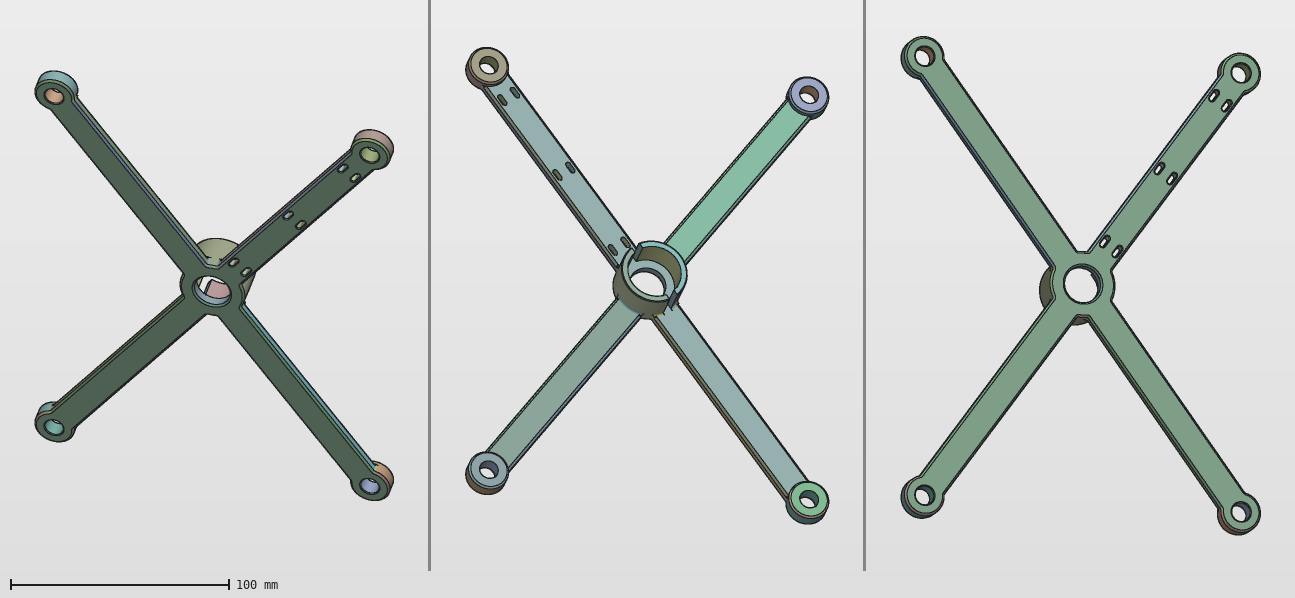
import cadquery as cq
import math

TOTAL_WIDTH = 168.7
TOTAL_HEIGHT = 223.8
TOTAL_DEPTH = 20.0

EYE_DIAMETER = 18.8
EYE_HOLE_DIAMETER = 8.7
EYE_DEPTH = 8.0
EYE_X = (TOTAL_WIDTH - EYE_DIAMETER) / 2
EYE_Z = (TOTAL_HEIGHT - EYE_DIAMETER) / 2
EYE_CENTRES = [(side * EYE_X, end * EYE_Z) for side in (-1, 1) for end in (-1, 1)]

ARM_WIDTH = 14.0
ARM_DEPTH = 5.1
ARM_ANGLE = math.degrees(math.atan2(EYE_Z, EYE_X))
ARM_SPAN = 2 * math.hypot(EYE_X, EYE_Z)
CORNER_RADIUS = 1.1

HUB_DIAMETER = 30.9
HUB_HOLE_DIAMETER = 17.0
HUB_SOCKET_DIAMETER = 25.0
KEYWAY_WIDTH = 4.5

OUTLINE_CHAMFER = 1.0
BACK_CHAMFER = 1.1
BACK_CHAMFER_GAP = 0.5
HUB_CHAMFER = 0.5
EYE_CHAMFER = 1.0
HUB_HOLE_CHAMFER = 1.0
EYE_HOLE_CHAMFER = 0.5

TIE_SLOT_LENGTH = 5.8
TIE_SLOT_WIDTH = 2.2
TIE_SLOT_CHAMFER = 0.5
TIE_SLOT_GAUGE = 7.4
TIE_SLOT_PITCH = 43.9
MIDDLE_TIE_SLOT = 66.5

TOLERANCE = 0.02


def plane_at(y):
    """XZ plane at depth y; a negative extrusion runs towards +Y."""
    return cq.Workplane("XZ", origin=(0, y, 0))


def between(front, back):
    """Selector for everything centred between two depths."""
    low = (-TOTAL_WIDTH, front, -TOTAL_HEIGHT)
    high = (TOTAL_WIDTH, back, TOTAL_HEIGHT)
    return cq.selectors.BoxSelector(low, high)


def make_boss(diameter, depth, chamfer):
    """Round boss on the Y axis with a broken back edge."""
    boss = plane_at(0).circle(diameter / 2).extrude(-depth)
    return boss.faces(">Y").chamfer(chamfer)


def make_body():
    """Crossed arms joined to the hub and the eyes, with rounded corners and broken edges."""
    body = make_boss(HUB_DIAMETER, TOTAL_DEPTH, HUB_CHAMFER)
    for angle in (ARM_ANGLE, -ARM_ANGLE):
        arm = plane_at(0).transformed(rotate=(0, 0, angle)).rect(ARM_SPAN, ARM_WIDTH)
        body = body.union(arm.extrude(-ARM_DEPTH))
    for x, z in EYE_CENTRES:
        body = body.union(make_boss(EYE_DIAMETER, EYE_DEPTH, EYE_CHAMFER).translate((x, 0, z)))

    corners = body.edges("|Y").edges(between(0, ARM_DEPTH / 2 + TOLERANCE))
    near_hub = cq.selectors.BoxSelector(
        (-HUB_DIAMETER, ARM_DEPTH - TOLERANCE, -HUB_DIAMETER),
        (HUB_DIAMETER, ARM_DEPTH + TOLERANCE, HUB_DIAMETER),
    )
    hub_root = body.edges(near_hub).edges("%CIRCLE")
    body = corners.add(hub_root).fillet(CORNER_RADIUS)
    return body.faces("<Y").chamfer(OUTLINE_CHAMFER)


def corner_reach(disc_diameter):
    """Distance along an arm from a disc centre to the end of the corner rounding."""
    return math.sqrt((disc_diameter / 2 + CORNER_RADIUS) ** 2 - (ARM_WIDTH / 2 + CORNER_RADIUS) ** 2)


def make_back_chamfer(angle):
    """Wedges along both back edges of one arm, stopping short of the rounded corners."""
    start = corner_reach(HUB_DIAMETER) + BACK_CHAMFER_GAP
    end = ARM_SPAN / 2 - corner_reach(EYE_DIAMETER) - BACK_CHAMFER_GAP
    edge = ARM_WIDTH / 2
    wedge = (
        cq.Workplane("YZ", origin=(start, 0, 0))
        .polyline([(ARM_DEPTH - BACK_CHAMFER, edge), (ARM_DEPTH, edge - BACK_CHAMFER), (ARM_DEPTH, edge)])
        .close()
        .extrude(end - start)
    )
    wedges = wedge.union(wedge.mirror("XY"))
    return wedges.rotate((0, 0, 0), (0, -1, 0), angle)


def make_hole(diameter, depth, chamfer):
    """Through hole along Y, countersunk at the front."""
    radius = diameter / 2
    profile = [
        (0, 0),
        (radius + chamfer, 0),
        (radius, chamfer),
        (radius, depth),
        (0, depth),
    ]
    return cq.Workplane("XY").polyline(profile).close().revolve(360, (0, 0), (0, 1))


def make_socket():
    """Wider bore of the hub, from its back end down to the back of the arms."""
    return plane_at(ARM_DEPTH).circle(HUB_SOCKET_DIAMETER / 2).extrude(ARM_DEPTH - TOTAL_DEPTH)


def make_keyway():
    """Slot across the hub wall, in line with the slotted arm and behind the arms."""
    slot = plane_at(ARM_DEPTH).transformed(rotate=(0, 0, ARM_ANGLE)).rect(2 * HUB_DIAMETER, KEYWAY_WIDTH)
    return slot.extrude(ARM_DEPTH - TOTAL_DEPTH)


def make_tie_slots():
    """Obround slots through the arm, widened at the front edge."""
    centres = [
        (MIDDLE_TIE_SLOT + row * TIE_SLOT_PITCH, side * TIE_SLOT_GAUGE / 2)
        for row in (-1, 0, 1)
        for side in (-1, 1)
    ]
    slots = plane_at(ARM_DEPTH).transformed(rotate=(0, 0, ARM_ANGLE)).pushPoints(centres)
    slots = slots.slot2D(TIE_SLOT_LENGTH, TIE_SLOT_WIDTH).extrude(ARM_DEPTH)
    sinks = plane_at(TIE_SLOT_CHAMFER).transformed(rotate=(0, 0, ARM_ANGLE)).pushPoints(centres)
    sinks = sinks.slot2D(TIE_SLOT_LENGTH, TIE_SLOT_WIDTH).extrude(TIE_SLOT_CHAMFER, taper=-45)
    return slots.union(sinks)


body = make_body()
for angle in (ARM_ANGLE, 180 - ARM_ANGLE, 180 + ARM_ANGLE, -ARM_ANGLE):
    body = body.cut(make_back_chamfer(angle))
body = body.cut(make_hole(HUB_HOLE_DIAMETER, ARM_DEPTH, HUB_HOLE_CHAMFER))
for x, z in EYE_CENTRES:
    body = body.cut(make_hole(EYE_HOLE_DIAMETER, EYE_DEPTH, EYE_HOLE_CHAMFER).translate((x, 0, z)))
body = body.cut(make_socket())
body = body.cut(make_keyway())
body = body.cut(make_tie_slots())

result = body